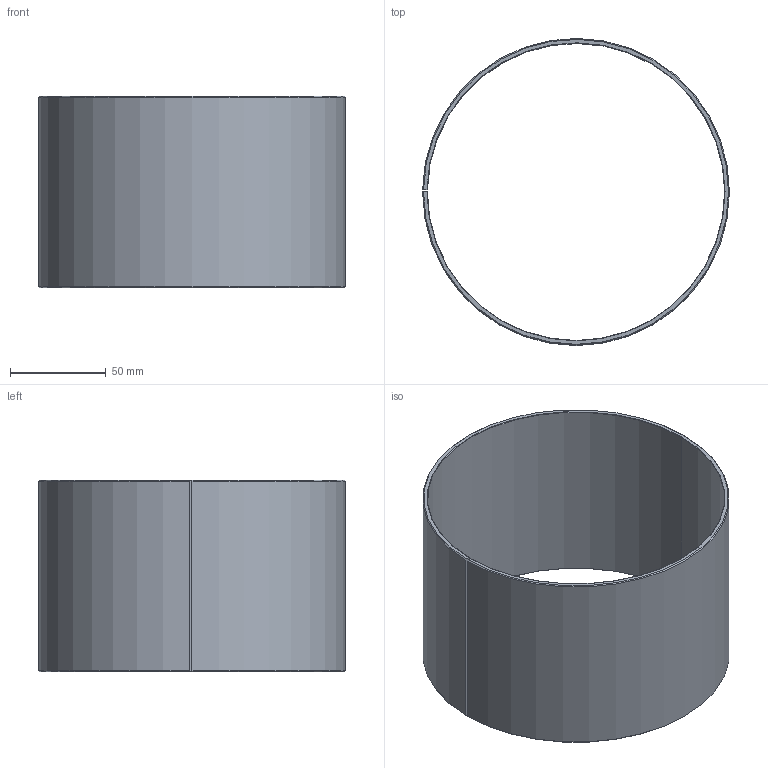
import cadquery as cq
import math

outer_diameter = 160.0
wall_thickness = 2.5
height = 100.0

outer_chamfer = 0.5
inner_chamfer = 0.2

slit_angle = 1.0

outer_radius = outer_diameter / 2
inner_radius = outer_radius - wall_thickness


def make_chamfered_cylinder(radius, chamfer):
    """Solid cylinder on the XY plane with both end edges chamfered inward."""
    return cq.Workplane("XY").circle(radius).extrude(height).faces("<Z or >Z").edges().chamfer(chamfer)


def make_bore():
    """Bore cutter that flares outward at both ends to chamfer the inner rims."""
    flared_radius = inner_radius + inner_chamfer
    return (
        cq.Workplane("XZ")
        .moveTo(0, 0)
        .lineTo(flared_radius, 0)
        .lineTo(inner_radius, inner_chamfer)
        .lineTo(inner_radius, height - inner_chamfer)
        .lineTo(flared_radius, height)
        .lineTo(0, height)
        .close()
        .revolve(360, (0, 0, 0), (0, 1, 0))
    )


def make_slit():
    """Wedge cutter with its point on the sleeve axis, reaching out past the -X wall."""
    slit_length = outer_radius + wall_thickness
    far_edge = slit_length * math.tan(math.radians(slit_angle))
    return (
        cq.Workplane("XY")
        .moveTo(0, 0)
        .lineTo(-slit_length, 0)
        .lineTo(-slit_length, far_edge)
        .close()
        .extrude(height)
    )


result = make_chamfered_cylinder(outer_radius, outer_chamfer).cut(make_bore()).cut(make_slit())